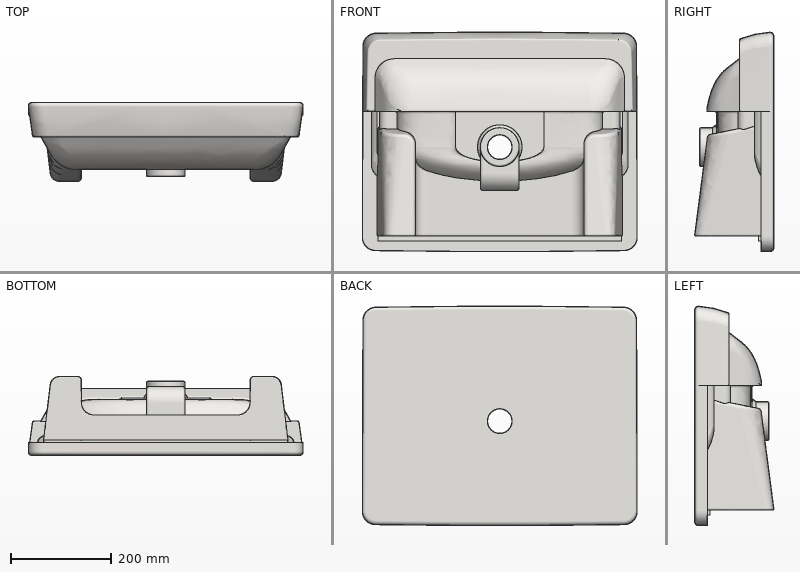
import cadquery as cq
import math


overall_width = 549.46
overall_depth = 158.16
overall_height = 438.78

overlap = 1.0

plate_thickness = 25.5
rim_round = 7.6
rim_corner_radius = 27.0
rim_bulge = 2.0
rim_edge_band = 1.0
rim_top_half_width = 273.5
rim_low_half_width = 274.8

shelf_base_z = 280.0
shelf_depth = 69.0
shelf_front_half_width = 266.0
shelf_front_top_half_width = 263.0
shelf_front_drop = 14.0
shelf_middle_drop = 4.5
shelf_side_bow = 0.5
shelf_edge_round = 3.5

lower_bowl_half_width = 202.0
bowl_root_radius = 4.0

block_half_width = 245.0
block_base_z = 31.0
block_top_z = 262.0
panel_depth = 81.0
leg_inner_x = 168.5
leg_outer_front_x = 229.0
foot_round_loss = 0.41
leg_base_depth = overall_depth + foot_round_loss
leg_top_depth = 128.5
leg_inner_radius = 8.0
leg_base_radius = 19.0
leg_top_radius = 52.0
leg_panel_radius = 25.0
leg_shoulder_radius = 22.0
leg_edge_round = 8.0
leg_top_back_z = 260.0
leg_top_front_z = 228.0
base_edge_round = 3.0
post_depth = 72.0
post_half_width = 240.0
post_radius = 16.0

strip_base_z = 21.0
strip_depth = 30.8
strip_side_inset = 2.0

drain_z = 209.0
drain_diameter = 48.58
boss_diameter = 77.5
boss_depth = 148.4
boss_edge_round = 3.5
boss_root_diameter = 89.0
boss_root_depth = 115.0
boss_root_height = 8.0
channel_depth = 138.0
channel_front_base_z = 155.0
channel_base_z = 122.0
channel_radius = channel_front_base_z - channel_base_z
channel_edge_round = 6.0


def xz_plane(depth):
    """Sketch plane with local axes X and Z, at y = -depth, facing -Y."""
    return cq.Workplane("XZ", origin=(0, -depth, 0))


def corner_arc(before, corner, after, radius):
    """Start, middle and end of the arc that rounds a corner between two straight lines."""
    to_before = cq.Vector(*before).sub(cq.Vector(*corner)).normalized()
    to_after = cq.Vector(*after).sub(cq.Vector(*corner)).normalized()
    half_angle = to_before.getAngle(to_after) / 2
    reach = radius / math.tan(half_angle)
    to_centre = to_before.add(to_after).normalized()
    apex_distance = radius / math.sin(half_angle) - radius
    vertex = cq.Vector(*corner)
    points = (
        vertex.add(to_before.multiply(reach)),
        vertex.add(to_centre.multiply(apex_distance)),
        vertex.add(to_after.multiply(reach)),
    )
    return [(point.x, point.y) for point in points]


def mirror_points(points):
    """The same points on the other side of x = 0, in reverse order."""
    return [(-x, z) for x, z in reversed(points)]


def mirrored_pair(body):
    return body.union(body.mirror("YZ"))


def rim_outline(depth):
    """Rounded outline of the whole rim with slightly bowed top and bottom edges."""
    top_corner_z = overall_height - rim_bulge
    top_corner = (rim_top_half_width, top_corner_z)
    low_corner = (rim_low_half_width, rim_bulge)
    top_arc = corner_arc((0, top_corner_z), top_corner, low_corner, rim_corner_radius)
    low_arc = corner_arc(top_corner, low_corner, (0, rim_bulge), rim_corner_radius)
    return (
        xz_plane(depth)
        .moveTo(*mirror_points(top_arc)[2])
        .threePointArc((0, overall_height), top_arc[0])
        .threePointArc(*top_arc[1:])
        .lineTo(*low_arc[0])
        .threePointArc(*low_arc[1:])
        .threePointArc((0, 0), mirror_points(low_arc)[0])
        .threePointArc(*mirror_points(low_arc)[1:])
        .lineTo(*mirror_points(top_arc)[0])
        .threePointArc(*mirror_points(top_arc)[1:])
        .close()
    )


def arch_wire(depth, base_half_width, top_half_width, base_z, top_z, radius, bulge=0.0):
    """Flat-bottomed section with two rounded upper corners and a bowed top edge."""
    base = (base_half_width, base_z)
    corner = (top_half_width, top_z - bulge)
    arc = corner_arc(base, corner, (0, top_z - bulge), radius)
    left_arc = mirror_points(arc)
    sketch = xz_plane(depth).moveTo(*base).lineTo(*arc[0]).threePointArc(*arc[1:])
    if bulge:
        sketch = sketch.threePointArc((0, top_z), left_arc[0])
    else:
        sketch = sketch.lineTo(*left_arc[0])
    sketch = sketch.threePointArc(*left_arc[1:]).lineTo(-base_half_width, base_z).close()
    return sketch.wire().val()


def loft(wires, ruled=False):
    return cq.Workplane(cq.Solid.makeLoft(wires, ruled))


def make_rim():
    """Rim plate, thin behind the shelf and thicker below the step."""
    plate = rim_outline(0).extrude(plate_thickness)
    shelf_clearance = (
        xz_plane(rim_round + rim_edge_band)
        .moveTo(0, shelf_base_z)
        .rect(2 * overall_width, overall_height, centered=(True, False))
        .extrude(overall_depth)
    )
    return plate.faces(">Y").edges().fillet(rim_round).cut(shelf_clearance)


def make_shelf():
    """Drafted thick part of the basin above the step."""
    back_depth = rim_round + rim_edge_band
    taper = (rim_low_half_width - rim_top_half_width) / (overall_height - 2 * rim_bulge)
    back_half_width = rim_top_half_width + taper * (overall_height - rim_bulge - shelf_base_z)
    middle_half_width = (back_half_width + shelf_front_half_width) / 2
    middle_top_half_width = (rim_top_half_width + shelf_front_top_half_width) / 2
    sections = [
        (back_depth, back_half_width, rim_top_half_width, 0),
        (
            (back_depth + shelf_depth) / 2,
            middle_half_width + shelf_side_bow,
            middle_top_half_width + shelf_side_bow,
            shelf_middle_drop,
        ),
        (shelf_depth, shelf_front_half_width, shelf_front_top_half_width, shelf_front_drop),
    ]
    wires = []
    for depth, base_half_width, top_half_width, drop in sections:
        top_z = overall_height - drop
        wires.append(
            arch_wire(
                depth, base_half_width, top_half_width, shelf_base_z, top_z, rim_corner_radius, rim_bulge
            )
        )
    return loft(wires).faces("<Y").edges().fillet(shelf_edge_round)


def make_upper_bowl():
    """Domed bowl underside above the step: (depth, half width, top z, corner radius)."""
    sections = [
        (shelf_depth - overlap, 250, 386.5, 40),
        (105.7, 229, 355, 38),
        (124, 212, 323, 34),
        (131, 198, 300, 18),
        (134, 186, 284, 3),
    ]
    wires = [
        arch_wire(depth, half_width, half_width, shelf_base_z, top_z, radius)
        for depth, half_width, top_z, radius in sections
    ]
    return loft(wires)


def make_lower_bowl():
    """Bowl underside below the step: (depth, half width, drop of the half ellipse below drain level)."""
    sections = [
        (plate_thickness, 215, 80),
        (panel_depth, lower_bowl_half_width, 68),
        (100, 188, 56),
        (110, 165, 44),
        (114.5, 88, 30),
    ]
    wires = []
    for depth, half_width, drop in sections:
        wire = (
            xz_plane(depth)
            .moveTo(-half_width, shelf_base_z)
            .lineTo(-half_width, drain_z)
            .ellipseArc(half_width, drop, 180, 360, startAtCurrent=True)
            .lineTo(half_width, shelf_base_z)
            .close()
            .wire()
            .val()
        )
        wires.append(wire)
    return loft(wires)


def leg_section(z, front_depth, outer_radius):
    """Horizontal section through the right leg, from the plate to the leg's front face."""
    back = (block_half_width, -plate_thickness + overlap)
    slope = (block_half_width - leg_outer_front_x) / (overall_depth - plate_thickness)
    front_x = block_half_width - slope * (front_depth - plate_thickness)
    outer_corner = (front_x, -front_depth)
    inner_corner = (leg_inner_x, -front_depth)
    inner_back = (leg_inner_x, -plate_thickness + overlap)
    outer_arc = corner_arc(back, outer_corner, inner_corner, outer_radius)
    inner_arc = corner_arc(outer_corner, inner_corner, inner_back, leg_inner_radius)
    return (
        cq.Workplane("XY", origin=(0, 0, z))
        .moveTo(*back)
        .lineTo(*outer_arc[0])
        .threePointArc(*outer_arc[1:])
        .lineTo(*inner_arc[0])
        .threePointArc(*inner_arc[1:])
        .lineTo(*inner_back)
        .close()
        .wire()
        .val()
    )


def make_leg():
    leg = loft(
        [
            leg_section(block_base_z, leg_base_depth, leg_base_radius),
            leg_section(block_top_z, leg_top_depth, leg_top_radius),
        ],
        ruled=True,
    )
    below_top = (
        cq.Workplane("YZ", origin=(leg_inner_x, 0, 0))
        .lineTo(0, leg_top_back_z)
        .lineTo(-leg_base_depth - overlap, leg_top_front_z)
        .lineTo(-leg_base_depth - overlap, 0)
        .close()
        .extrude(overall_width / 2 - leg_inner_x)
        .faces("<X")
        .edges(">Z")
        .fillet(leg_shoulder_radius)
    )
    leg = leg.intersect(below_top)
    top_edges = cq.selectors.BoxSelector(
        (leg_inner_x + overlap, -overall_depth, leg_top_front_z - leg_shoulder_radius),
        (block_half_width + overlap, 0, shelf_base_z),
    )
    return leg.edges(top_edges).fillet(leg_edge_round)


def make_block():
    """Block between the legs, with a concave round where its front panel meets each leg."""
    block = (
        cq.Workplane("XY", origin=(0, 0, block_base_z))
        .moveTo(-leg_inner_x - overlap, -plate_thickness + overlap)
        .lineTo(-leg_inner_x - overlap, -panel_depth - leg_panel_radius)
        .lineTo(-leg_inner_x, -panel_depth - leg_panel_radius)
        .radiusArc((-leg_inner_x + leg_panel_radius, -panel_depth), leg_panel_radius)
        .lineTo(leg_inner_x - leg_panel_radius, -panel_depth)
        .radiusArc((leg_inner_x, -panel_depth - leg_panel_radius), leg_panel_radius)
        .lineTo(leg_inner_x + overlap, -panel_depth - leg_panel_radius)
        .lineTo(leg_inner_x + overlap, -plate_thickness + overlap)
        .close()
        .extrude(drain_z - block_base_z)
    )
    return block


def make_support():
    """Block and both legs, with their shared foot edge rounded."""
    support = make_block().union(mirrored_pair(make_leg()))
    foot_edges = cq.selectors.BoxSelector(
        (-overall_width, -leg_base_depth - overlap, block_base_z - overlap),
        (overall_width, -plate_thickness, block_base_z + overlap),
    )
    return support.edges(foot_edges).fillet(base_edge_round)


def make_strip():
    """Low ledge along the foot of the support block."""
    strip_width = 2 * (block_half_width - strip_side_inset)
    return cq.Workplane("XY").box(
        strip_width, strip_depth, block_base_z - strip_base_z + overlap, centered=(True, False, False)
    ).translate((0, -strip_depth, strip_base_z))


def make_posts():
    """Short posts that join the leg tops to the underside of the step."""
    width = post_half_width - leg_inner_x
    post = (
        cq.Workplane("XY", origin=(leg_inner_x, -post_depth, leg_top_front_z))
        .rect(width, post_depth, centered=False)
        .extrude(shelf_base_z - leg_top_front_z + overlap)
        .edges("|Z and >X and <Y")
        .fillet(post_radius)
    )
    return mirrored_pair(post)


def make_side_bulges():
    """Bowl sides that show beside the support block: (depth, half width, base z, corner radius)."""
    sections = [
        (plate_thickness - overlap, 257, 144, 30),
        (32, 254, 158, 28),
        (39, 245.5, 182, 20),
    ]
    wires = []
    for depth, half_width, base_z, radius in sections:
        arc = corner_arc((half_width, shelf_base_z), (half_width, base_z), (0, base_z), radius)
        wire = (
            xz_plane(depth)
            .moveTo(leg_inner_x, shelf_base_z)
            .lineTo(half_width, shelf_base_z)
            .lineTo(*arc[0])
            .threePointArc(*arc[1:])
            .lineTo(leg_inner_x, base_z)
            .close()
            .wire()
            .val()
        )
        wires.append(wire)
    return mirrored_pair(loft(wires))


def make_drain():
    """Round drain boss, its wider root and the channel below it."""
    boss = xz_plane(panel_depth).center(0, drain_z).circle(boss_diameter / 2)
    boss = boss.extrude(boss_depth - panel_depth).faces("<Y").edges().fillet(boss_edge_round)
    channel = (
        cq.Workplane("YZ", origin=(-boss_diameter / 2, 0, 0))
        .moveTo(-panel_depth + overlap, drain_z)
        .lineTo(-channel_depth, drain_z)
        .lineTo(-channel_depth, channel_front_base_z)
        .radiusArc((channel_radius - channel_depth, channel_base_z), -channel_radius)
        .lineTo(-panel_depth + overlap, channel_base_z)
        .close()
        .extrude(boss_diameter)
        .edges("(<X or >X) and (not >Y) and (not >Z)")
        .fillet(channel_edge_round)
    )
    root = cq.Workplane(
        cq.Solid.makeCone(
            boss_root_diameter / 2,
            boss_diameter / 2,
            boss_root_height,
            cq.Vector(0, -boss_root_depth, drain_z),
            cq.Vector(0, -1, 0),
        )
    )
    return boss.union(channel).union(root)


def make_basin():
    """Rim, shelf and both parts of the bowl, with a root round below the step."""
    basin = make_rim().union(make_shelf()).union(make_upper_bowl()).union(make_lower_bowl())
    root_edges = cq.selectors.BoxSelector(
        (-lower_bowl_half_width, -boss_root_depth, shelf_base_z - overlap),
        (lower_bowl_half_width, -panel_depth, shelf_base_z + overlap),
    )
    return basin.edges(root_edges).fillet(bowl_root_radius)


def make_drain_hole():
    return xz_plane(0).center(0, drain_z).circle(drain_diameter / 2).extrude(overall_depth)


result = (
    make_basin()
    .union(make_support())
    .union(make_posts())
    .union(make_side_bulges())
    .union(make_strip())
    .union(make_drain())
    .cut(make_drain_hole())
)